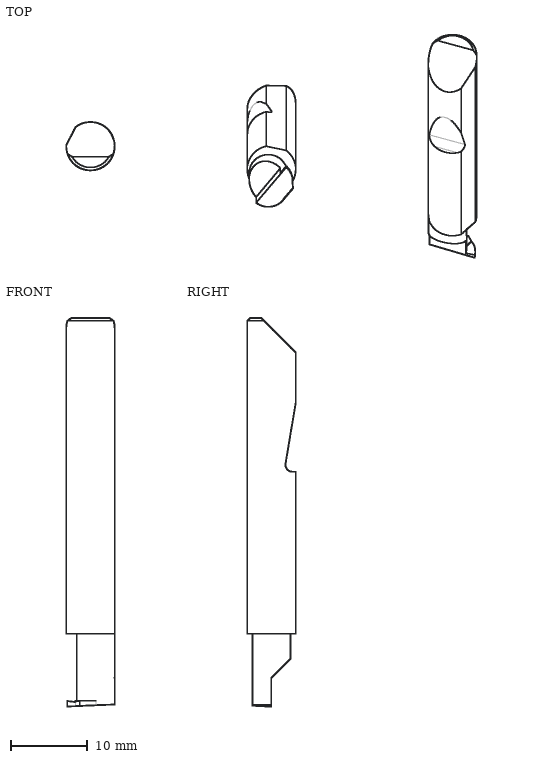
import cadquery as cq
import math

total_length = 50.8
shank_diameter = 6.35
shank_radius = shank_diameter / 2
shank_bottom = 9.5
end_chamfer = 0.4

flat_start_y = 0.15
flat_start = (-math.sqrt(shank_radius**2 - flat_start_y**2), flat_start_y)
flat_end_y = 2.5
flat_end = (-math.sqrt(shank_radius**2 - flat_end_y**2), flat_end_y)

bevel_top_y = -1.35

notch_floor = 30.7
notch_depth = 1.5
notch_radius = 0.9
notch_ramp_angle = 9.5

neck_radius = 2.5
neck_center_x = shank_radius - neck_radius
rake_face_y = 0.0
relief_start = 3.75

ledge_height = 0.75
ledge_inner_corner = (-1.55, -0.9)
ledge_front_y = -neck_radius
ledge_bevel = 0.6
ledge_front_corner = (-1.4, ledge_front_y)
ledge_side_corner = (ledge_front_corner[0] - ledge_bevel, ledge_front_y + ledge_bevel)

tip = (-3.04, rake_face_y)
tip_height = 0.75
flank_bulge = 0.25
back_relief_angle = 7.0

end_slope_along_x = 2.5
end_slope_along_y = 1.0

overrun = 10.0


def side_prism(points):
    """Solid with a Y-Z outline, running across the whole part along X."""
    return cq.Workplane("YZ").polyline(points).close().extrude(overrun, both=True)


def make_shank():
    shank = (
        cq.Workplane("XY", origin=(0, 0, shank_bottom))
        .circle(shank_radius)
        .extrude(total_length - shank_bottom)
        .faces(">Z")
        .chamfer(end_chamfer)
    )
    return shank.cut(make_side_flat()).cut(make_end_bevel()).cut(make_notch())


def make_side_flat():
    """Body outside the flat, bounded by the flat's line carried past both ends."""
    outer_corner = (flat_start[0] - overrun, flat_end[1] + overrun)
    run_x = flat_end[0] - flat_start[0]
    run_y = flat_end[1] - flat_start[1]
    stretch = overrun / math.hypot(run_x, run_y)
    beyond_start = (flat_start[0] - run_x * stretch, flat_start[1] - run_y * stretch)
    beyond_end = (flat_end[0] + run_x * stretch, flat_end[1] + run_y * stretch)
    return (
        cq.Workplane("XY")
        .polyline([beyond_start, beyond_end, outer_corner])
        .close()
        .extrude(total_length)
    )


def make_end_bevel():
    return side_prism([
        (bevel_top_y - overrun, total_length + overrun),
        (bevel_top_y + overrun, total_length - overrun),
        (bevel_top_y + overrun, total_length + overrun),
    ])


def make_notch():
    """Long ramp into the shank, rounded where it meets a short level floor."""
    ramp_height = notch_depth / math.tan(math.radians(notch_ramp_angle))
    notch = side_prism([
        (shank_radius - notch_depth, notch_floor),
        (shank_radius, notch_floor),
        (shank_radius, notch_floor + ramp_height),
    ])
    return notch.edges("|X and <Y").fillet(notch_radius)


def make_neck():
    neck = (
        cq.Workplane("XY", origin=(neck_center_x, 0, 0))
        .circle(neck_radius)
        .extrude(shank_bottom)
    )
    relief = side_prism([
        (rake_face_y, -overrun),
        (rake_face_y, relief_start),
        (rake_face_y + overrun, relief_start + overrun),
        (rake_face_y + overrun, -overrun),
    ])
    return neck.cut(relief)


def make_ledge():
    return (
        cq.Workplane("XY")
        .polyline([
            ledge_inner_corner,
            ledge_side_corner,
            ledge_front_corner,
            (neck_center_x, ledge_front_y),
            (neck_center_x, ledge_inner_corner[1]),
        ])
        .close()
        .extrude(ledge_height)
    )


def make_tooth():
    """Tooth with a curved flank and a top that falls from the tip toward the neck."""
    chord_x = ledge_side_corner[0] - tip[0]
    chord_y = ledge_side_corner[1] - tip[1]
    chord = math.hypot(chord_x, chord_y)
    flank_middle = (
        tip[0] + chord_x / 2 + flank_bulge * chord_y / chord,
        tip[1] + chord_y / 2 - flank_bulge * chord_x / chord,
    )
    tooth = (
        cq.Workplane("XY")
        .moveTo(*tip)
        .threePointArc(flank_middle, ledge_side_corner)
        .lineTo(*ledge_inner_corner)
        .lineTo(neck_center_x, ledge_inner_corner[1])
        .lineTo(neck_center_x, rake_face_y)
        .close()
        .extrude(tip_height)
    )
    back_relief = (
        make_block()
        .rotate((0, 0, 0), (0, 1, 0), back_relief_angle)
        .translate((tip[0], tip[1], tip_height))
    )
    return tooth.cut(back_relief)


def make_block():
    """Large block standing on the X-Y plane."""
    return cq.Workplane("XY").box(
        2 * overrun, 2 * overrun, overrun, centered=(True, True, False)
    )


def make_end_relief():
    """Body below the tip, its top rising from the tip toward +X and -Y."""
    return (
        make_block()
        .translate((0, 0, -overrun))
        .rotate((0, 0, 0), (1, 0, 0), -end_slope_along_y)
        .rotate((0, 0, 0), (0, 1, 0), -end_slope_along_x)
        .translate((tip[0], tip[1], 0))
    )


foot = make_neck().union(make_ledge()).union(make_tooth()).cut(make_end_relief())
result = make_shank().union(foot)